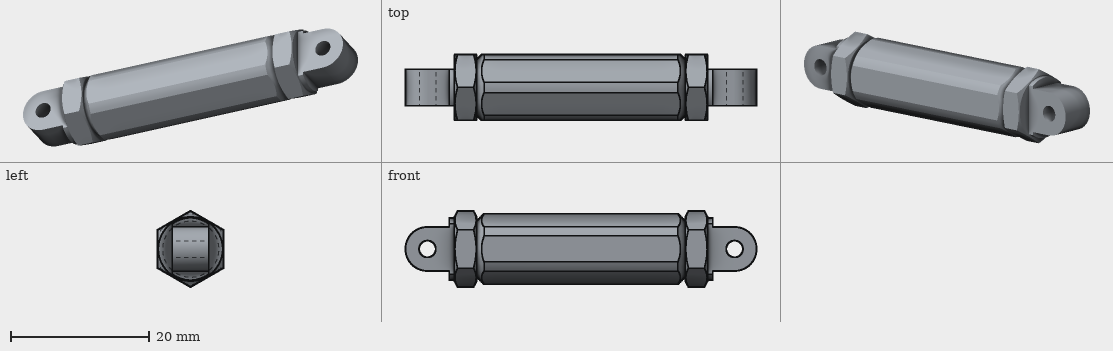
import cadquery as cq
import math

overall_length = 50.8
across_corners = 11.0
barrel_diameter = 10.25
barrel_chamfer = 1.05
barrel_length = 30.2
nut_thickness = 3.2
nut_chamfer_diameter = 9.3
nut_chamfer_angle = 27.0
eye_radius = 3.2
eye_width = 5.3
eye_hole_diameter = 2.4
collar_diameter = 9.0
collar_thickness = 0.75

barrel_end = barrel_length / 2
nut_outer_face = barrel_end + nut_thickness
eye_center = overall_length / 2 - eye_radius
nut_chamfer_depth = (across_corners - nut_chamfer_diameter) / 2 * math.tan(math.radians(nut_chamfer_angle))


def hexagon_bar(start, length):
    """Hexagonal bar along +X with flats facing -Y and +Y and corners facing up and down."""
    return (
        cq.Workplane("YZ", origin=(start, 0, 0))
        .transformed(rotate=(0, 0, 90))
        .polygon(6, across_corners)
        .extrude(length)
    )


def chamfered_round(start, length, diameter, depth, end_diameter):
    """Cylinder along +X whose two ends taper to end_diameter over the given depth."""
    radius = diameter / 2
    end_radius = end_diameter / 2
    end = start + length
    return (
        cq.Workplane("XY")
        .moveTo(start, 0)
        .lineTo(start, end_radius)
        .lineTo(start + depth, radius)
        .lineTo(end - depth, radius)
        .lineTo(end, end_radius)
        .lineTo(end, 0)
        .close()
        .revolve(360, (0, 0, 0), (1, 0, 0))
    )


def make_barrel():
    """Hexagonal barrel with rounded corners and chamfered ends."""
    envelope = chamfered_round(
        -barrel_end,
        barrel_length,
        barrel_diameter,
        barrel_chamfer,
        barrel_diameter - 2 * barrel_chamfer,
    )
    return hexagon_bar(-barrel_end, barrel_length).intersect(envelope)


def make_nut():
    """Hexagonal nut on the +X end, seated against the barrel and chamfered on both faces."""
    envelope = chamfered_round(
        barrel_end, nut_thickness, across_corners, nut_chamfer_depth, nut_chamfer_diameter
    )
    return hexagon_bar(barrel_end, nut_thickness).intersect(envelope)


def flat_sided_block(length, height):
    """Block as wide as the eye, reaching outward along +X from the outer nut face."""
    return cq.Workplane("XY", origin=(nut_outer_face, 0, 0)).box(
        length, eye_width, height, centered=(False, True, True)
    )


def make_eye_end():
    """Eye on the +X end: a drilled round-nosed tongue on a flat-sided collar."""
    nose = cq.Workplane("XZ").center(eye_center, 0).circle(eye_radius).extrude(eye_width / 2, both=True)
    shank = flat_sided_block(eye_center - nut_outer_face, 2 * eye_radius)
    collar = (
        cq.Workplane("YZ", origin=(nut_outer_face, 0, 0))
        .circle(collar_diameter / 2)
        .extrude(collar_thickness)
        .intersect(flat_sided_block(collar_thickness, collar_diameter))
    )
    hole = (
        cq.Workplane("XZ")
        .center(eye_center, 0)
        .circle(eye_hole_diameter / 2)
        .extrude(eye_width, both=True)
    )
    return shank.union(nose).union(collar).cut(hole)


barrel = make_barrel()

nuts = []
eye_ends = []
for turn in (0, 180):
    nuts.append(make_nut().rotate((0, 0, 0), (0, 0, 1), turn))
    eye_ends.append(make_eye_end().rotate((0, 0, 0), (0, 0, 1), turn))

result = cq.Compound.makeCompound(
    [
        barrel.val(),
        *[nut.val() for nut in nuts],
        *[eye_end.val() for eye_end in eye_ends],
    ]
)